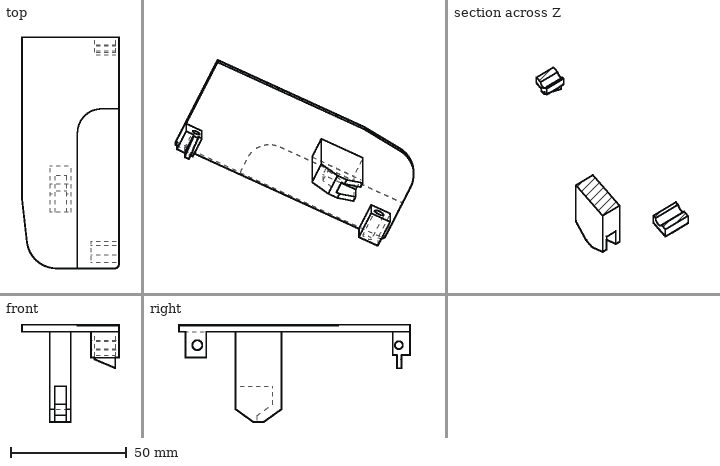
import cadquery as cq

PLATE_WIDTH = 42.0
PLATE_LENGTH = 100.0
PLATE_THICKNESS = 3.2
TAPER_START_Y = 30.0
TAPER_END_X = 2.1
TAPER_END_Y = 11.6
LEFT_CORNER_END_X = 15.1
RIGHT_CORNER_RADIUS = 2.0

RECESS_LEFT_X = 24.0
RECESS_BACK_Y = 69.0
RECESS_RADIUS = 10.4
RECESS_DEPTH = 0.5

POST_LEFT_X = 12.0
POST_WIDTH = 9.2
POST_FRONT_Y = 24.5
POST_DEPTH = 19.9
POST_BOTTOM_Z = -42.2
FOOT_TOP_Z = -36.6
FOOT_FLAT = 4.4

SLOT_WIDTH = 5.0
SLOT_TOP_Z = -26.7
RAMP_TOP_Z = -34.5
RAMP_BOTTOM_Z = -39.3
RAMP_FRONT_Y = 33.7
FOOT_RUN = (POST_DEPTH - FOOT_FLAT) / 2
FOOT_RISE = FOOT_TOP_Z - POST_BOTTOM_Z
SLOT_BACK_Y = RAMP_FRONT_Y + (RAMP_TOP_Z - RAMP_BOTTOM_Z) * FOOT_RUN / FOOT_RISE

FRONT_TAB_LEFT_X = 29.8
TAB_HOLE_Z = -8.9
FRONT_TAB_Y = 2.8
FRONT_TAB_LENGTH = 9.1
FRONT_TAB_BOTTOM_Z = -14.3
FRONT_HOLE_Y = 8.0
FRONT_HOLE_DIAMETER = 4.2
REAR_TAB_LENGTH = 7.6
REAR_TAB_BOTTOM_Z = -13.2
REAR_HOLE_Y = 95.1
REAR_HOLE_DIAMETER = 3.3

HOOK_LEFT_X = 31.2
HOOK_RIGHT_X = 40.4
HOOK_FRONT_Y = 94.2
HOOK_THICKNESS = 2.1
HOOK_LEFT_BOTTOM_Z = -15.0
HOOK_RIGHT_BOTTOM_Z = -18.9


def make_plate():
    blank = (
        cq.Workplane("XY")
        .workplane(offset=-PLATE_THICKNESS)
        .moveTo(LEFT_CORNER_END_X, 0)
        .lineTo(PLATE_WIDTH, 0)
        .lineTo(PLATE_WIDTH, PLATE_LENGTH)
        .lineTo(0, PLATE_LENGTH)
        .lineTo(0, TAPER_START_Y)
        .lineTo(TAPER_END_X, TAPER_END_Y)
        .tangentArcPoint((LEFT_CORNER_END_X, 0), relative=False)
        .close()
        .extrude(PLATE_THICKNESS)
    )
    blank = blank.edges("|Z and >X and <Y").fillet(RIGHT_CORNER_RADIUS)
    recess = (
        box_between(RECESS_LEFT_X, PLATE_WIDTH, 0, RECESS_BACK_Y, -RECESS_DEPTH, 0)
        .edges("|Z and <X and >Y")
        .fillet(RECESS_RADIUS)
    )
    return blank.cut(recess)


def box_between(x0, x1, y0, y1, z0, z1):
    return cq.Workplane("XY").box(x1 - x0, y1 - y0, z1 - z0, centered=False).translate((x0, y0, z0))


def extrude_along_x(points, start_x, width):
    """Extrude a closed outline of (y, z) points in the +X direction."""
    return cq.Workplane("YZ").workplane(offset=start_x).polyline(points).close().extrude(width)


def make_post():
    back_y = POST_FRONT_Y + POST_DEPTH
    body = extrude_along_x(
        [
            (POST_FRONT_Y, -PLATE_THICKNESS),
            (POST_FRONT_Y, FOOT_TOP_Z),
            (POST_FRONT_Y + FOOT_RUN, POST_BOTTOM_Z),
            (back_y - FOOT_RUN, POST_BOTTOM_Z),
            (back_y, FOOT_TOP_Z),
            (back_y, -PLATE_THICKNESS),
        ],
        POST_LEFT_X,
        POST_WIDTH,
    )
    slot = extrude_along_x(
        [
            (POST_FRONT_Y, SLOT_TOP_Z),
            (SLOT_BACK_Y, SLOT_TOP_Z),
            (SLOT_BACK_Y, RAMP_TOP_Z),
            (RAMP_FRONT_Y, RAMP_BOTTOM_Z),
            (RAMP_FRONT_Y, POST_BOTTOM_Z),
            (POST_FRONT_Y, POST_BOTTOM_Z),
        ],
        POST_LEFT_X + (POST_WIDTH - SLOT_WIDTH) / 2,
        SLOT_WIDTH,
    )
    return body.cut(slot)


def make_tab(left_x, right_x, front_y, length, bottom_z, hole_y, hole_diameter):
    tab = box_between(left_x, right_x, front_y, front_y + length, bottom_z, -PLATE_THICKNESS)
    hole = (
        cq.Workplane("YZ")
        .workplane(offset=left_x)
        .center(hole_y, TAB_HOLE_Z)
        .circle(hole_diameter / 2)
        .extrude(right_x - left_x)
    )
    return tab.cut(hole)


def make_hook():
    return (
        cq.Workplane("XZ")
        .workplane(offset=-HOOK_FRONT_Y)
        .polyline([
            (HOOK_LEFT_X, REAR_TAB_BOTTOM_Z),
            (HOOK_LEFT_X, HOOK_LEFT_BOTTOM_Z),
            (HOOK_RIGHT_X, HOOK_RIGHT_BOTTOM_Z),
            (HOOK_RIGHT_X, REAR_TAB_BOTTOM_Z),
        ])
        .close()
        .extrude(-HOOK_THICKNESS)
    )


front_tab = make_tab(
    FRONT_TAB_LEFT_X,
    PLATE_WIDTH,
    FRONT_TAB_Y,
    FRONT_TAB_LENGTH,
    FRONT_TAB_BOTTOM_Z,
    FRONT_HOLE_Y,
    FRONT_HOLE_DIAMETER,
)
rear_tab = make_tab(
    HOOK_LEFT_X,
    HOOK_RIGHT_X,
    PLATE_LENGTH - REAR_TAB_LENGTH,
    REAR_TAB_LENGTH,
    REAR_TAB_BOTTOM_Z,
    REAR_HOLE_Y,
    REAR_HOLE_DIAMETER,
)
result = make_plate().union(make_post()).union(front_tab).union(rear_tab).union(make_hook())